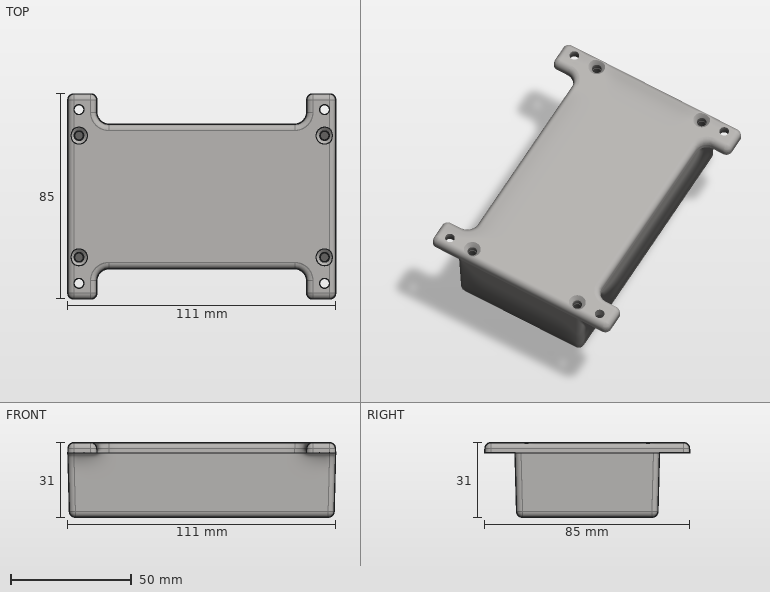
import cadquery as cq
import math

LENGTH = 111.0
WIDTH = 85.0
HEIGHT = 31.0

EDGE_RADIUS = 2.5

LID_THICKNESS = 4.2
LID_DRAFT = 3.0
LID_TOP = cq.Plane(origin=(0, 0, LID_THICKNESS))
TAB_WIDTH = 12.1
TAB_LENGTH = 12.5
TAB_ROOT_RADIUS = 5.0

HOLE_EDGE_INSET = 4.7
HOLE_X = LENGTH / 2 - HOLE_EDGE_INSET
MOUNT_HOLE_Y = 36.0
MOUNT_HOLE_DIAMETER = 4.0
SCREW_HOLE_Y = 25.2
SCREW_HOLE_DIAMETER = 4.0
SCREW_HEAD_DIAMETER = 7.0
COUNTERSINK_ANGLE = 82.0
PILOT_DIAMETER = 3.5
PILOT_DEPTH = 8.9

BOX_HEIGHT = HEIGHT - LID_THICKNESS
BOX_WIDTH = WIDTH - 2 * TAB_LENGTH
BOX_DRAFT = 1.5


def mirrored_points(x, y):
    """The point (x, y) repeated in all four quadrants."""
    return [(side_x * x, side_y * y) for side_x in (-1, 1) for side_y in (-1, 1)]


def make_notches():
    """Two blocks with rounded corners that leave the tabs between them, wider at the top."""
    top_spread = 2 * LID_THICKNESS * math.tan(math.radians(LID_DRAFT))
    top_length = LENGTH - 2 * TAB_WIDTH + top_spread
    top_depth = 2 * TAB_LENGTH + top_spread
    return (
        cq.Workplane(LID_TOP)
        .pushPoints([(0, -WIDTH / 2), (0, WIDTH / 2)])
        .rect(top_length, top_depth)
        .extrude(-LID_THICKNESS, taper=LID_DRAFT)
        .edges("not(#Z)")
        .fillet(TAB_ROOT_RADIUS)
    )


def make_lid_plate():
    """H-shaped plate, wider at its underside, with rounded corners and top edges."""
    plate = cq.Workplane("XY").rect(LENGTH, WIDTH).extrude(LID_THICKNESS, taper=LID_DRAFT)
    plate = plate.cut(make_notches())
    tab_corners = plate.edges("not(#Z)").filter(
        lambda edge: edge.geomType() == "LINE" and abs(edge.Center().y) > MOUNT_HOLE_Y
    )
    plate = tab_corners.fillet(EDGE_RADIUS)
    return plate.faces(">Z").edges().fillet(EDGE_RADIUS)


def make_lid():
    """Lid plate with its mounting holes and countersunk screw holes."""
    plate = make_lid_plate()
    plate = (
        plate.copyWorkplane(cq.Workplane(LID_TOP))
        .pushPoints(mirrored_points(HOLE_X, MOUNT_HOLE_Y))
        .hole(MOUNT_HOLE_DIAMETER)
    )
    return (
        plate.copyWorkplane(cq.Workplane(LID_TOP))
        .pushPoints(mirrored_points(HOLE_X, SCREW_HOLE_Y))
        .cskHole(SCREW_HOLE_DIAMETER, SCREW_HEAD_DIAMETER, COUNTERSINK_ANGLE)
    )


def make_box():
    """Block that tapers downward from the lid, with rounded edges and blind pilot holes."""
    block = cq.Workplane("XY").rect(LENGTH, BOX_WIDTH).extrude(-BOX_HEIGHT, taper=BOX_DRAFT)
    block = block.edges("not(#Z)").fillet(EDGE_RADIUS)
    block = block.faces("<Z").edges().fillet(EDGE_RADIUS)
    pilots = (
        cq.Workplane("XY")
        .pushPoints(mirrored_points(HOLE_X, SCREW_HOLE_Y))
        .circle(PILOT_DIAMETER / 2)
        .extrude(-PILOT_DEPTH)
    )
    return block.cut(pilots)


lid = make_lid()
box = make_box()

result = cq.Compound.makeCompound([lid.val(), box.val()])